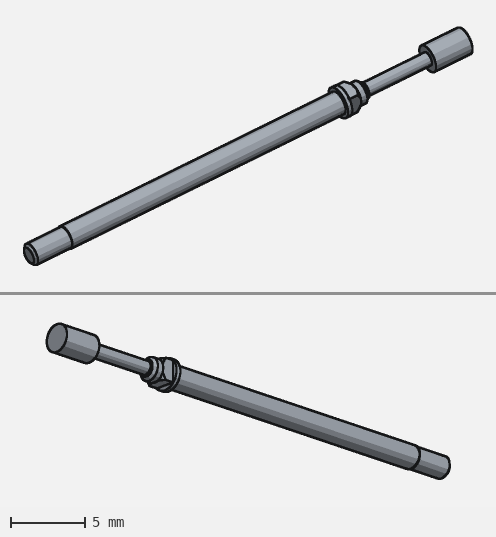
import cadquery as cq


head_diameter = 2.0
plunger_diameter = 1.0
mouth_diameter = 1.2
barrel_diameter = 1.7
collar_diameter = 2.3
tail_diameter = 1.6

square_width = tail_diameter
core_diameter = 1.4

total_length = 35.8
head_length = 3.0
plunger_length = 5.2
mouth_lip_length = 0.1
neck_length = 0.5
square_length = 0.95
collar_thickness = 0.35
tail_length = 3.0

mouth_chamfer = (barrel_diameter - mouth_diameter) / 2
corner_chamfer = (collar_diameter - barrel_diameter) / 2
tail_chamfer = 0.2

collar_front = collar_thickness
square_front = collar_front + square_length
neck_front = square_front + neck_length
mouth_back = neck_front + mouth_chamfer
mouth_front = mouth_back + mouth_lip_length
head_back = mouth_front + plunger_length
tip = head_back + head_length
tail_end = tip - total_length
tail_front = tail_end + tail_length


def revolve_profile(profile):
    """Revolve (diameter, y) steps about Y, closing the outline along the axis."""
    first_y = profile[0][1]
    last_y = profile[-1][1]
    points = [(diameter / 2, y) for diameter, y in profile]
    outline = cq.Workplane("XY").polyline([(0, first_y)] + points + [(0, last_y)]).close()
    return outline.revolve(360, (0, 0, 0), (0, 1, 0))


def make_pin():
    """Tail, barrel, collar, barrel mouth, plunger and head as one turned body."""
    return revolve_profile([
        (tail_diameter - 2 * tail_chamfer, tail_end),
        (tail_diameter, tail_end + tail_chamfer),
        (tail_diameter, tail_front),
        (barrel_diameter, tail_front),
        (barrel_diameter, 0),
        (collar_diameter, 0),
        (collar_diameter, collar_front),
        (core_diameter, collar_front),
        (core_diameter, square_front),
        (barrel_diameter, square_front),
        (barrel_diameter, neck_front),
        (mouth_diameter, mouth_back),
        (mouth_diameter, mouth_front),
        (plunger_diameter, mouth_front),
        (plunger_diameter, head_back),
        (head_diameter, head_back),
        (head_diameter, tip),
    ])


def make_square():
    """Square section with its front corners turned down to a cone."""
    bar = (
        cq.Workplane("XZ", origin=(0, collar_front, 0))
        .rect(square_width, square_width)
        .extrude(-square_length)
    )
    corner_cone = revolve_profile([
        (collar_diameter, collar_front),
        (collar_diameter, square_front - corner_chamfer),
        (barrel_diameter, square_front),
    ])
    return bar.intersect(corner_cone)


result = make_pin().union(make_square())